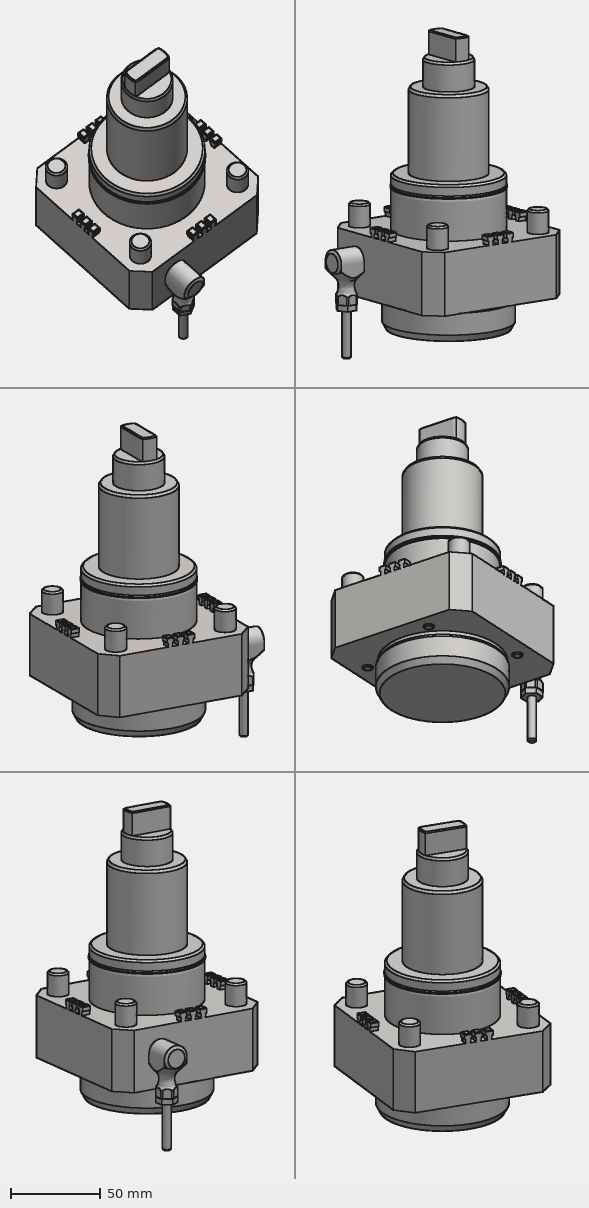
import cadquery as cq
import math

quarter_turn = 90
sides = 4

block_x = 96.1
block_y = 97.0
block_height = 36.5
block_corner = 9.2

collar_radius = 32.5
recess_radius = 32.0
collar_shoulder_z = 59.0
rim_radius = 32.8
rim_z = 61.0
rim_width = 0.7
cap_z = 62.3
collar_top = 68.5
collar_chamfer = 1.3
barrel_radius = 22.5
barrel_top = 118.0
barrel_chamfer_height = 1.6
barrel_chamfer_width = 1.1
spindle_radius = 14.5
spindle_top = 134.8
spindle_chamfer_height = 1.5
spindle_chamfer_width = 1.0

key_top = 148.7
key_width = 9.9
key_radius = 13.5
key_flat_length = 21.6
key_end_width = 9.0
key_chamfer = 0.7

neck_radius = 36.5
neck_depth = 2.2
base_radius = 37.4
base_shoulder_depth = 3.8
base_depth = 20.3
base_chamfer_height = 4.0
base_chamfer_width = 2.2

post_x = 35.0
post_y = 36.6
post_radius = 6.0
post_height = 13.4
post_chamfer = 1.1

foot_along = 18.3
foot_across = 38.5
foot_radius = 3.1
foot_height = 1.0
foot_chamfer = 0.7

tooth_pitch = 6.6
tooth_head = 4.4
tooth_neck = 3.0
tooth_height = 5.5
tooth_neck_height = 1.6
tooth_flare_height = 2.5
tooth_depth = 5.1
tooth_root = 3.7
tooth_chamfer = 0.5

elbow_x = 54.7
elbow_y = -22.2
elbow_radius = 7.5
elbow_z = 21.2
elbow_end = 63.9
end_cap_x = 64.8
end_cap_radius = 5.5
throat_radius = 4.4
throat_z = 7.7
flare_start = 6.6
flare_radius = 5.1
elbow_cone_z = 13.0
cone_end_radius = 5.5
throat_bend_radius = 4.8
elbow_root = 1.8

hexagon_sides = 6
hexagon_corner_ratio = 1 / math.cos(math.pi / hexagon_sides)
nut_top = 3.7
nut_split = -3.1
nut_bottom = -6.6
nut_upper_flats = 11.4
nut_upper_radius = 6.2
nut_chamfer = 1.8
nut_lower_flats = 10.6
cable_radius = 2.5
cable_bottom = -34.5
cable_chamfer = 1.0


def disc(radius, bottom, top, x=0.0, y=0.0):
    """Upright cylinder between two heights."""
    return cq.Workplane("XY", origin=(x, y, bottom)).circle(radius).extrude(top - bottom)


def make_block():
    block = cq.Workplane("XY").rect(block_x, block_y).extrude(block_height)
    return block.edges("|Z").chamfer(block_corner)


def make_switch():
    """Base, collar, barrel and spindle as one turned body."""
    profile = [
        (0, -base_depth),
        (base_radius - base_chamfer_width, -base_depth),
        (base_radius, -base_depth + base_chamfer_height),
        (base_radius, -base_shoulder_depth),
        (neck_radius, -neck_depth),
        (neck_radius, block_height / 2),
        (collar_radius, block_height / 2),
        (collar_radius, collar_shoulder_z),
        (recess_radius, rim_z - rim_width / 2),
        (rim_radius, rim_z - rim_width / 2),
        (rim_radius, rim_z + rim_width / 2),
        (collar_radius, cap_z),
        (collar_radius, collar_top - collar_chamfer),
        (collar_radius - collar_chamfer, collar_top),
        (barrel_radius, collar_top),
        (barrel_radius, barrel_top - barrel_chamfer_height),
        (barrel_radius - barrel_chamfer_width, barrel_top),
        (spindle_radius, barrel_top),
        (spindle_radius, spindle_top - spindle_chamfer_height),
        (spindle_radius - spindle_chamfer_width, spindle_top),
        (0, spindle_top),
    ]
    return cq.Workplane("XZ").polyline(profile).close().revolve(360, (0, 0), (0, 1))


def make_key():
    """Flat key with round ends and bevelled corners, sunk into the spindle."""
    half_width = key_width / 2
    half_flat = key_flat_length / 2
    half_end = key_end_width / 2
    end_y = math.sqrt(key_radius**2 - half_end**2)
    outline = (
        cq.Workplane("XY", origin=(0, 0, barrel_top))
        .moveTo(half_width, -half_flat)
        .lineTo(half_width, half_flat)
        .lineTo(half_end, end_y)
        .threePointArc((0, key_radius), (-half_end, end_y))
        .lineTo(-half_width, half_flat)
        .lineTo(-half_width, -half_flat)
        .lineTo(-half_end, -end_y)
        .threePointArc((0, -key_radius), (half_end, -end_y))
        .close()
    )
    return outline.extrude(key_top - barrel_top).faces(">Z").chamfer(key_chamfer)


def make_posts():
    posts = cq.Workplane("XY", origin=(0, 0, block_height / 2))
    posts = posts.rect(2 * post_x, 2 * post_y, forConstruction=True).vertices()
    posts = posts.circle(post_radius).extrude(block_height / 2 + post_height)
    return posts.faces(">Z").chamfer(post_chamfer)


def make_feet():
    foot = disc(foot_radius, -foot_height, block_height / 2, foot_along, -foot_across)
    foot = foot.faces("<Z").chamfer(foot_chamfer)
    feet = foot
    for turn in range(1, sides):
        feet = feet.union(foot.rotate((0, 0, 0), (0, 0, 1), quarter_turn * turn))
    return feet


def make_tooth():
    """T-shaped tooth with a flared neck, its outer face on the X axis."""
    half_head = tooth_head / 2
    half_tooth = (
        cq.Workplane("XZ", origin=(0, 0, block_height))
        .moveTo(0, -tooth_root)
        .lineTo(tooth_neck / 2, -tooth_root)
        .lineTo(tooth_neck / 2, tooth_neck_height)
        .tangentArcPoint((half_head, tooth_flare_height), relative=False)
        .lineTo(half_head, tooth_height)
        .lineTo(0, tooth_height)
        .close()
        .extrude(-tooth_depth)
    )
    tooth = half_tooth.union(half_tooth.mirror("YZ"))
    return tooth.faces(">Z").chamfer(tooth_chamfer)


def make_tooth_row(edge_distance):
    """Three teeth along the -Y edge of the block."""
    tooth = make_tooth()
    row = cq.Workplane("XY")
    for place in (-tooth_pitch, 0, tooth_pitch):
        row = row.union(tooth.translate((place, -edge_distance, 0)))
    return row


def make_teeth():
    teeth = cq.Workplane("XY")
    for turn in range(sides):
        edge_distance = (block_y if turn % 2 == 0 else block_x) / 2
        row = make_tooth_row(edge_distance)
        teeth = teeth.union(row.rotate((0, 0, 0), (0, 0, 1), quarter_turn * turn))
    return teeth


def make_elbow_body():
    """Arched body whose lower part is trimmed by a cone around the cable."""
    inside = block_x / 2 - elbow_root
    arch = (
        cq.Workplane("YZ", origin=(inside, elbow_y, 0))
        .moveTo(-elbow_radius, throat_z)
        .lineTo(-elbow_radius, elbow_z)
        .threePointArc((0, elbow_z + elbow_radius), (elbow_radius, elbow_z))
        .lineTo(elbow_radius, throat_z)
        .close()
        .extrude(elbow_end - inside)
    )
    end_cap = (
        cq.Workplane("YZ", origin=(elbow_end, elbow_y, elbow_z))
        .circle(elbow_radius)
        .workplane(offset=end_cap_x - elbow_end)
        .circle(end_cap_radius)
        .loft()
    )
    outer = 2 * elbow_radius
    cone_end_z = elbow_cone_z + cone_end_radius - elbow_radius
    throat_bend_z = (throat_z + cone_end_z) / 2
    funnel = (
        cq.Workplane("XZ", origin=(elbow_x, elbow_y, 0))
        .moveTo(0, throat_z)
        .lineTo(throat_radius, throat_z)
        .threePointArc((throat_bend_radius, throat_bend_z), (cone_end_radius, cone_end_z))
        .lineTo(outer, elbow_cone_z + outer - elbow_radius)
        .lineTo(outer, elbow_z + outer)
        .lineTo(0, elbow_z + outer)
        .close()
        .revolve(360, (0, 0), (0, 1))
    )
    return arch.union(end_cap).intersect(funnel)


def hexagon(across_flats, bottom, top):
    """Hexagon prism on the cable axis."""
    plane = cq.Workplane("XY", origin=(elbow_x, elbow_y, bottom))
    return plane.polygon(hexagon_sides, across_flats * hexagon_corner_ratio).extrude(top - bottom)


def make_cable_entry():
    """Throat, two-step hexagon nut and cable below the elbow."""
    throat = [
        (0, elbow_z),
        (throat_radius, elbow_z),
        (throat_radius, flare_start),
        (flare_radius, nut_top),
        (0, nut_top),
    ]
    throat = cq.Workplane("XZ", origin=(elbow_x, elbow_y, 0)).polyline(throat).close()
    entry = throat.revolve(360, (0, 0), (0, 1))

    upper = hexagon(nut_upper_flats, nut_split, nut_top)
    rounding = disc(nut_upper_radius, nut_split, nut_top, elbow_x, elbow_y)
    rounding = rounding.faces(">Z").chamfer(nut_chamfer, nut_upper_radius - flare_radius)
    lower = hexagon(nut_lower_flats, nut_bottom, nut_split)
    cable = disc(cable_radius, cable_bottom, nut_split, elbow_x, elbow_y)
    cable = cable.faces("<Z").chamfer(cable_chamfer)
    return entry.union(upper.intersect(rounding)).union(lower).union(cable)


result = make_block()
for feature in (
    make_switch(),
    make_key(),
    make_posts(),
    make_feet(),
    make_teeth(),
    make_elbow_body(),
    make_cable_entry(),
):
    result = result.union(feature)